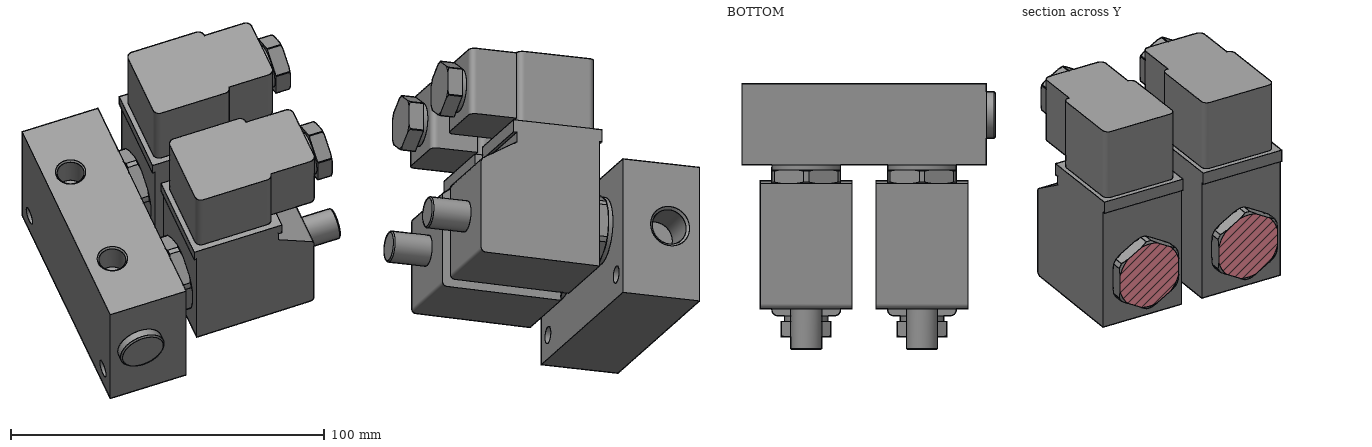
import cadquery as cq
import math


block_x = 78.0
block_y = 26.0
block_z = 45.0

mount_hole_dia = 5.5
mount_hole_inset = 6.5
mount_hole_z = 8.0

top_port_bore = 8.6
top_port_mouth = 9.7
top_port_depth = 10.2
top_port_y = 8.7

side_port_bore = 11.5
side_port_mouth = 13.2
side_port_depth = 14.0
side_port_y = 10.0
side_port_z = 24.05

plug_dia = 15.0
plug_length = 3.0
plug_chamfer = 0.5

valve_pitch = 37.0
valve_centres = [block_x / 2 + side * valve_pitch / 2 for side in (-1, 1)]
valve_axis_z = 26.9

collar_dia = 22.0
collar_length = 1.5
nut_flats = 22.0
nut_corner_dia = 24.5
nut_front = block_y + collar_length
nut_length = 4.3
nut_bevel_depth = 0.85
nut_bevel_length = 0.4

coil_width = 29.4
coil_front = nut_front + nut_length
coil_back = 72.0
coil_front_bottom = 10.0
coil_back_bottom = 10.45
coil_edge_radius = 1.5
coil_slope_angle = 30.0
neck_back = 59.9
neck_bottom = 48.7

flange_front = 31.0
flange_length = 30.0
flange_bottom = 51.9
flange_top = 56.0

stem_dia = 10.0
stem_end = 85.0
stem_chamfer = 0.4

connector_top = 80.0
connector_size = 26.0
connector_shift_x = -0.2
connector_front = 32.7
connector_back = connector_front + connector_size
connector_radius = 2.0
outlet_size = 22.0
outlet_back = 74.2

gland_dia = 14.0
gland_length = 1.8
gland_nut_flats = 16.0
gland_nut_length = 4.9
gland_nut_corner_dia = 18.3
gland_nut_bevel_depth = 0.6
gland_nut_bevel_length = 0.3
gland_z = connector_top - outlet_size / 2

overlap = 0.85


def rod(start, axis, diameter, length):
    """Solid cylinder from a start point along an axis."""
    return cq.Workplane(cq.Solid.makeCylinder(diameter / 2, length, cq.Vector(*start), cq.Vector(*axis)))


def port(start, axis, bore, mouth, depth):
    """Blind bore with a 45 degree countersunk mouth, as a cutting body."""
    sink = (mouth - bore) / 2
    cone = cq.Solid.makeCone(mouth / 2, bore / 2, sink, cq.Vector(*start), cq.Vector(*axis))
    return rod(start, axis, bore, depth).union(cq.Workplane(cone))


def hex_bar(x, y, z, flats, length):
    """Hexagonal bar along +Y with corners pointing up and down."""
    corner_radius = flats / math.sqrt(3)
    corners = []
    for index in range(6):
        angle = math.radians(90 + 60 * index)
        corners.append((x + corner_radius * math.cos(angle), z + corner_radius * math.sin(angle)))
    return cq.Workplane("XZ", origin=(0, y, 0)).polyline(corners).close().extrude(-length)


def bevelled_blank(x, y, z, direction, corner_dia, depth, length, nut_length):
    """Round blank along +Y or -Y from (x, y, z), widening from a bevelled end to its full diameter."""
    axis = (0, direction, 0)
    full_start = (x, y + direction * length, z)
    cone = cq.Solid.makeCone(
        corner_dia / 2 - depth, corner_dia / 2, length, cq.Vector(x, y, z), cq.Vector(*axis)
    )
    return rod(full_start, axis, corner_dia, nut_length - length).union(cq.Workplane(cone))


def box(x_centre, width, y_front, y_back, z_bottom, z_top):
    """Box centred on x_centre."""
    return cq.Workplane("XY", origin=(x_centre, (y_front + y_back) / 2, z_bottom)).box(
        width, y_back - y_front, z_top - z_bottom, centered=(True, True, False)
    )


def make_block():
    """Manifold block with mounting holes, ports and the closing plug."""
    block = cq.Workplane("XY").box(block_x, block_y, block_z, centered=False)
    for x in (mount_hole_inset, block_x - mount_hole_inset):
        block = block.cut(rod((x, 0, mount_hole_z), (0, 1, 0), mount_hole_dia, block_y))
    for x in valve_centres:
        start = (x, top_port_y, block_z)
        block = block.cut(port(start, (0, 0, -1), top_port_bore, top_port_mouth, top_port_depth))
    start = (0, side_port_y, side_port_z)
    block = block.cut(port(start, (1, 0, 0), side_port_bore, side_port_mouth, side_port_depth))
    plug_start = (block_x - overlap, side_port_y, side_port_z)
    plug = rod(plug_start, (1, 0, 0), plug_dia, plug_length + overlap)
    return block.union(plug.faces(">X").chamfer(plug_chamfer))


def make_base_nut(x):
    """Collar and hexagon nut; the nut corners are turned down and bevelled at both ends."""
    collar = rod((x, block_y - overlap, valve_axis_z), (0, 1, 0), collar_dia, collar_length + overlap)
    nut = hex_bar(x, nut_front, valve_axis_z, nut_flats, nut_length)
    for end, direction in ((nut_front, 1), (coil_front, -1)):
        blank = bevelled_blank(
            x, end, valve_axis_z, direction, nut_corner_dia, nut_bevel_depth, nut_bevel_length, nut_length
        )
        nut = nut.intersect(blank)
    return collar.union(nut)


def make_coil(x):
    """Coil housing with a sloped shoulder, top flange and protruding stem."""
    shoulder_drop = (coil_back - neck_back) * math.tan(math.radians(coil_slope_angle))
    profile = [
        (coil_front, coil_front_bottom),
        (coil_back, coil_back_bottom),
        (coil_back, neck_bottom - shoulder_drop),
        (neck_back, neck_bottom),
        (neck_back, flange_bottom),
        (coil_front, flange_bottom),
    ]
    left_side = cq.Workplane("YZ", origin=(x - coil_width / 2, 0, 0))
    housing = left_side.polyline(profile).close().extrude(coil_width)
    housing = housing.faces(">Y").edges("|X").fillet(coil_edge_radius)
    flange = box(x, coil_width, flange_front, flange_front + flange_length, flange_bottom, flange_top)
    stem = rod((x, coil_back - overlap, valve_axis_z), (0, 1, 0), stem_dia, stem_end - coil_back + overlap)
    stem = stem.faces(">Y").chamfer(stem_chamfer)
    return housing.union(flange).union(stem)


def make_connector(x):
    """Connector head slightly off the valve axis, narrower cable outlet and gland with hexagon nut."""
    head_x = x + connector_shift_x
    head = box(head_x, connector_size, connector_front, connector_back, flange_top, connector_top)
    head = head.edges("|Z").fillet(connector_radius)
    outlet_bottom = connector_top - outlet_size
    outlet_front = connector_back - connector_size / 2
    outlet = box(x, outlet_size, outlet_front, outlet_back, outlet_bottom, connector_top)
    outlet = outlet.faces(">Y").edges("|Z").fillet(connector_radius)
    gland = rod((x, outlet_back - overlap, gland_z), (0, 1, 0), gland_dia, gland_length + 2 * overlap)
    nut_start = outlet_back + gland_length
    nut = hex_bar(x, nut_start, gland_z, gland_nut_flats, gland_nut_length)
    blank = bevelled_blank(
        x,
        nut_start + gland_nut_length,
        gland_z,
        -1,
        gland_nut_corner_dia,
        gland_nut_bevel_depth,
        gland_nut_bevel_length,
        gland_nut_length,
    )
    nut = nut.intersect(blank)
    return head.union(outlet).union(gland).union(nut)


result = make_block()
for centre in valve_centres:
    result = result.union(make_base_nut(centre))
    result = result.union(make_coil(centre))
    result = result.union(make_connector(centre))